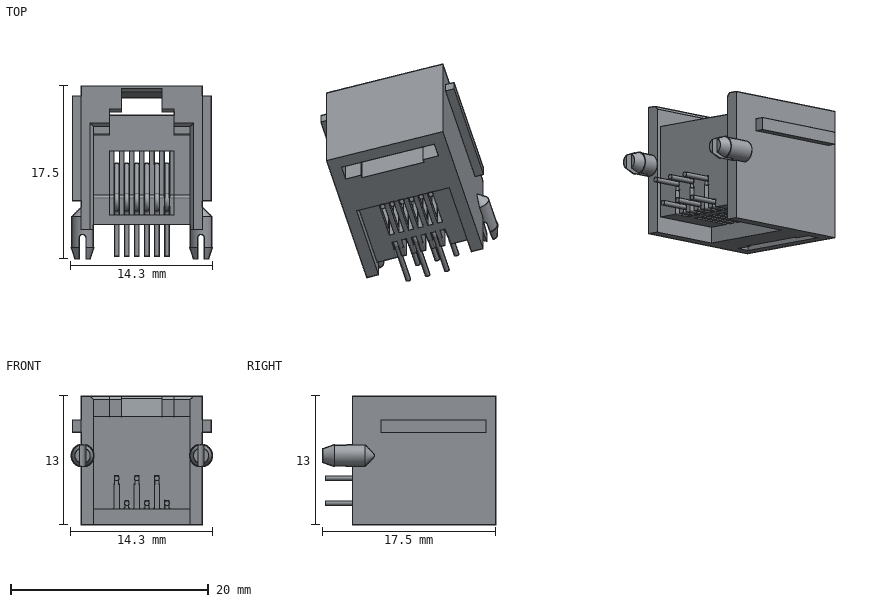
import cadquery as cq
import math


body_width = 12.25
body_depth = 14.5
body_height = 13.0
lead_in = 0.33

cavity_half = 4.88
cavity_back = 10.41
floor_top = 3.0
ledge_top = 3.5
ledge_front = 9.54
ledge_radius = 0.2
plate_front = 0.49
plate_back = 3.5
plate_top = 10.94
rear_radius = 0.33
underside_height = 1.63

key_half = 3.25
key_back = 11.86
notch_half = 2.03
notch_top_back = 14.25
notch_chamfer_depth = 0.25
latch_back = 13.32
latch_top = 10.12
tongue_back = 11.55

comb_front = 1.49
comb_back = 7.93
rib_top = 9.0
bar_top = 2.5

wire_count = 6
wire_pitch = 1.02
wire_radius = 0.25
low_row_z = 2.19
high_row_z = 4.7
wire_tail_y = -2.71
wire_tip_y = 6.51
leg_y = 2.1
elbow_radius = 0.6
crest_radius = 0.7
crest_z = 8.98
contact_slope = 65.0

slot_width = 0.52
throat_width = 0.4
throat_length = 0.61
throat_headroom = 0.28
slot_flare = 0.12

rail_reach = 0.9
rail_front = 2.9
rail_back = 13.51
rail_bottom = 9.36
rail_height = 1.25

peg_radius = 1.1
barb_radius = peg_radius + 0.061
peg_tip_radius = 0.77
peg_x = cavity_half + peg_radius
peg_z = 7.0
peg_cone_base = 1.3
barb_y = -1.8
peg_tip_y = -3.0
peg_slot_width = 0.65
peg_slot_end = -0.5


def box(x_min, x_max, y_min, y_max, z_min, z_max):
    size = (x_max - x_min, y_max - y_min, z_max - z_min)
    return cq.Workplane("XY").box(*size, centered=False).translate((x_min, y_min, z_min))


def across(outline, half_width):
    """Extrude a closed (Y, Z) outline to both sides of the mid-plane."""
    return outline.close().extrude(half_width, both=True)


def plug_cavity():
    outline = (
        cq.Workplane("YZ")
        .moveTo(0, 0)
        .lineTo(plate_front, 0)
        .lineTo(plate_front, plate_top)
        .lineTo(plate_back - rear_radius, plate_top)
        .radiusArc((plate_back, plate_top - rear_radius), rear_radius)
        .lineTo(plate_back, floor_top)
        .lineTo(ledge_front, floor_top)
        .lineTo(ledge_front, ledge_top - ledge_radius)
        .radiusArc((ledge_front + ledge_radius, ledge_top), ledge_radius)
        .lineTo(cavity_back, ledge_top)
        .lineTo(cavity_back, body_height)
        .lineTo(0, body_height)
    )
    underside = box(-cavity_half, cavity_half, 0, comb_back, 0, underside_height)
    return across(outline, cavity_half).union(underside)


def mouth_chamfer():
    """Lead-in at 45 degrees along the side walls and the back of the cavity, open at the front."""
    width = 2 * (cavity_half + lead_in)
    back = cavity_back + lead_in
    length = back + 2 * lead_in
    return (
        cq.Workplane("XY", origin=(0, back - length / 2, body_height))
        .rect(width, length)
        .extrude(-lead_in, taper=45)
    )


def latch_keyway():
    """Stepped latch opening, and the full-width pocket below it, both open at the bottom."""
    key = (
        cq.Workplane("YZ")
        .moveTo(ledge_front, floor_top)
        .lineTo(tongue_back, floor_top)
        .lineTo(tongue_back, 0)
        .lineTo(key_back, 0)
        .lineTo(key_back, body_height - lead_in)
        .lineTo(key_back + lead_in, body_height)
        .lineTo(ledge_front, body_height)
    )
    notch = (
        cq.Workplane("YZ")
        .moveTo(cavity_back, latch_top)
        .lineTo(latch_back, latch_top)
        .lineTo(notch_top_back - lead_in, body_height - notch_chamfer_depth)
        .lineTo(notch_top_back, body_height)
        .lineTo(cavity_back, body_height)
    )
    latch_pocket = box(-cavity_half, cavity_half, key_back, latch_back, 0, latch_top)
    return across(key, key_half).union(across(notch, notch_half)).union(latch_pocket)


def comb_window():
    """Space above the comb: high ribs behind the plate, low bars across the floor."""
    outline = (
        cq.Workplane("YZ")
        .moveTo(comb_front, rib_top)
        .lineTo(plate_back - rear_radius, rib_top)
        .radiusArc((plate_back, rib_top - rear_radius), rear_radius)
        .lineTo(plate_back, bar_top)
        .lineTo(comb_back, bar_top)
        .lineTo(comb_back, plate_top)
        .lineTo(comb_front, plate_top)
    )
    return across(outline, key_half)


def wire_slot(x, wire_z):
    """Comb slot, crossed by a web under the wire bend, and the keyhole through the plate."""
    half = slot_width / 2
    web_front = leg_y + wire_radius
    web_back = leg_y + 2 * crest_radius - wire_radius
    web_top = crest_z - crest_radius
    web = box(x - half, x + half, web_front, web_back, underside_height, web_top)
    comb_slot = box(x - half, x + half, comb_front, comb_back, underside_height, rib_top).cut(web)

    throat_half = throat_width / 2
    throat_top = wire_z + throat_headroom
    keyhole = box(x - throat_half, x + throat_half, plate_front, comb_front, underside_height, throat_top)
    wide_top = wire_z - throat_length
    mouth_half = throat_half
    if wide_top > underside_height:
        keyhole = keyhole.union(
            box(x - half, x + half, plate_front, comb_front, underside_height, wide_top)
        )
        mouth_half = half
    flare = (
        cq.Workplane("XZ", origin=(x, comb_front, underside_height))
        .moveTo(-mouth_half - slot_flare, 0)
        .radiusArc((-mouth_half, slot_flare), -slot_flare)
        .lineTo(mouth_half, slot_flare)
        .radiusArc((mouth_half + slot_flare, 0), -slot_flare)
        .close()
        .extrude(comb_front - plate_front)
    )
    wire_seat = (
        cq.Workplane("XZ", origin=(x, comb_front, wire_z))
        .circle(wire_radius)
        .extrude(comb_front - plate_front)
    )
    return comb_slot.union(keyhole).union(flare).union(wire_seat)


def side_rail(side):
    inner = side * body_width / 2
    outer = inner + side * rail_reach
    return box(
        min(inner, outer), max(inner, outer), rail_front, rail_back, rail_bottom, rail_bottom + rail_height
    )


def mounting_peg(side):
    """Peg along Y: cone into the wall, cylinder, tapered barb, split by a round-ended slot."""
    peg = (
        cq.Workplane("XY")
        .moveTo(0, peg_cone_base + peg_radius)
        .lineTo(peg_radius, peg_cone_base)
        .lineTo(peg_radius, barb_y)
        .lineTo(barb_radius, barb_y)
        .lineTo(peg_tip_radius, peg_tip_y)
        .lineTo(0, peg_tip_y)
        .close()
        .revolve(360, (0, 0, 0), (0, 1, 0))
    )
    slot_half = peg_slot_width / 2
    slot = (
        cq.Workplane("XY")
        .moveTo(-slot_half, peg_tip_y)
        .lineTo(-slot_half, peg_slot_end - slot_half)
        .threePointArc((0, peg_slot_end), (slot_half, peg_slot_end - slot_half))
        .lineTo(slot_half, peg_tip_y)
        .close()
        .extrude(barb_radius, both=True)
    )
    return peg.cut(slot).translate((side * peg_x, 0, peg_z))


def contact_wire(x, wire_z):
    """Straight tail, elbow, upright leg, crest bend and sloping contact."""
    slope = math.radians(contact_slope)
    crest_y = leg_y + crest_radius
    crest_base_z = crest_z - crest_radius
    bend_end_y = crest_y + crest_radius * math.sin(slope)
    bend_end_z = crest_base_z + crest_radius * math.cos(slope)
    tip_z = bend_end_z - (wire_tip_y - bend_end_y) * math.tan(slope)
    path = (
        cq.Workplane("YZ", origin=(x, 0, 0))
        .moveTo(wire_tail_y, wire_z)
        .lineTo(leg_y - elbow_radius, wire_z)
        .radiusArc((leg_y, wire_z + elbow_radius), -elbow_radius)
        .lineTo(leg_y, crest_base_z)
        .threePointArc((crest_y, crest_z), (bend_end_y, bend_end_z))
        .lineTo(wire_tip_y, tip_z)
    )
    return cq.Workplane("XZ", origin=(x, wire_tail_y, wire_z)).circle(wire_radius).sweep(path)


wire_places = []
for index in range(wire_count):
    wire_x = (index - (wire_count - 1) / 2) * wire_pitch
    wire_places.append((wire_x, high_row_z if index % 2 == 0 else low_row_z))

housing = box(-body_width / 2, body_width / 2, 0, body_depth, 0, body_height)
for side in (-1, 1):
    housing = housing.union(side_rail(side)).union(mounting_peg(side))
housing = housing.cut(plug_cavity()).cut(mouth_chamfer()).cut(latch_keyway()).cut(comb_window())
for wire_x, wire_z in wire_places:
    housing = housing.cut(wire_slot(wire_x, wire_z))

wires = [contact_wire(wire_x, wire_z).val() for wire_x, wire_z in wire_places]

result = cq.Compound.makeCompound([*housing.solids().vals(), *wires])